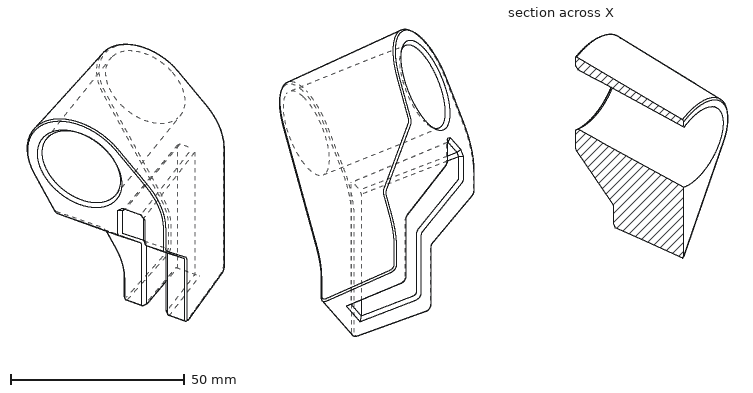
import cadquery as cq
import math

TOTAL_HEIGHT = 77.45
DEPTH = 40.0
DRAFT_ANGLE = 2.6
EDGE_CHAMFER = 0.5
BEND_RADIUS = 2.0

RING_RADIUS = 17.5
LEG_LEFT = 6.1
LEG_RIGHT = 28.0
SHOULDER_SLOPE = 45.0
FLANK_SLOPE = 30.0
BLEND_RADIUS = 20.0
TOP_Z = RING_RADIUS - EDGE_CHAMFER * math.tan(math.radians(DRAFT_ANGLE))
BOTTOM_Z = TOP_Z - TOTAL_HEIGHT

STEP_TOP_Z = -20.5
STEP_DEPTH = 14.0

BORE_DIAMETER = 26.0
LAND_DIAMETER = 25.7
LAND_END_Y = 3.25
CONE_END_Y = 11.2
BORE_CHAMFER = 1.0

SLOT_CENTRE_X = 17.0
SLOT_TOP_Z = -10.4
SLOT_MOUTH_WIDTH = 7.0
SLOT_FLOOR_WIDTH = 5.8
SLOT_DEPTH = 33.3
SLOT_CORNER_CHAMFER = 0.9
SLOT_EDGE_CHAMFER = 1.0

CLEARANCE = 3.9


def blend_ends(corner_x, corner_z, slope):
    """Ends of the blend arc where a side leaning toward -X meets the upright leg side below it."""
    reach = BLEND_RADIUS * math.tan(slope / 2)
    upper = (corner_x - reach * math.sin(slope), corner_z + reach * math.cos(slope))
    lower = (corner_x, corner_z - reach)
    return upper, lower


def outline(depth):
    """Closed outline at a depth behind the front face, moved inward there by the draft."""
    inset = depth * math.tan(math.radians(DRAFT_ANGLE))
    radius = RING_RADIUS - inset
    left = LEG_LEFT + inset
    right = LEG_RIGHT - inset
    shoulder = math.radians(SHOULDER_SLOPE)
    flank = math.radians(FLANK_SLOPE)

    shoulder_start = (radius * math.cos(shoulder), radius * math.sin(shoulder))
    flank_end = (-radius * math.cos(flank), -radius * math.sin(flank))
    right_corner_z = (radius - right * math.cos(shoulder)) / math.sin(shoulder)
    left_corner_z = -(radius + left * math.cos(flank)) / math.sin(flank)
    right_upper, right_lower = blend_ends(right, right_corner_z, shoulder)
    left_upper, left_lower = blend_ends(left, left_corner_z, flank)

    return (
        cq.Workplane("XZ", origin=(0, depth, 0))
        .moveTo(*shoulder_start)
        .lineTo(*right_upper)
        .radiusArc(right_lower, BLEND_RADIUS)
        .lineTo(right, BOTTOM_Z)
        .lineTo(left, BOTTOM_Z)
        .lineTo(*left_lower)
        .radiusArc(left_upper, -BLEND_RADIUS)
        .lineTo(*flank_end)
        .radiusArc(shoulder_start, radius)
        .close()
        .val()
    )


def side_profile():
    """Slab across the full width with an upright front, a 45 degree step, a leg and a flat base."""
    slab_left = -RING_RADIUS - CLEARANCE
    slab_right = LEG_RIGHT + CLEARANCE
    slab_top = RING_RADIUS + CLEARANCE
    slab = (
        cq.Workplane("YZ", origin=(slab_left, 0, 0))
        .polyline([
            (0, slab_top),
            (0, STEP_TOP_Z),
            (STEP_DEPTH, STEP_TOP_Z - STEP_DEPTH),
            (STEP_DEPTH, BOTTOM_Z),
            (DEPTH, BOTTOM_Z),
            (DEPTH, slab_top),
        ])
        .close()
        .extrude(slab_right - slab_left)
    )
    lower_half = cq.selectors.BoxSelector(
        (slab_left, -CLEARANCE, BOTTOM_Z - CLEARANCE),
        (slab_right, DEPTH + CLEARANCE, 0),
    )
    return slab.edges("|X").edges(lower_half).fillet(BEND_RADIUS)


def main_body():
    """Drafted outline trimmed to the side profile, with its outer rim chamfered."""
    body = cq.Workplane(cq.Solid.makeLoft([outline(0), outline(DEPTH)], True))
    return body.intersect(side_profile()).faces("<Y").edges("<X").chamfer(EDGE_CHAMFER)


def bore():
    """Chamfered front land, cone and main bore as one turned cutter."""
    land = LAND_DIAMETER / 2
    main = BORE_DIAMETER / 2
    return (
        cq.Workplane("XY")
        .polyline([
            (0, 0),
            (land + BORE_CHAMFER, 0),
            (land, BORE_CHAMFER),
            (land, LAND_END_Y),
            (main, CONE_END_Y),
            (main, DEPTH),
            (0, DEPTH),
        ])
        .close()
        .revolve(360, (0, 0, 0), (0, 1, 0))
    )


def slot():
    """Tapered slot cutter with its two upper corners cut off."""
    mouth = SLOT_MOUTH_WIDTH / 2
    floor = SLOT_FLOOR_WIDTH / 2
    return (
        cq.Workplane("XY", origin=(SLOT_CENTRE_X, 0, BOTTOM_Z))
        .polyline([(-mouth, 0), (mouth, 0), (floor, SLOT_DEPTH), (-floor, SLOT_DEPTH)])
        .close()
        .extrude(SLOT_TOP_Z - BOTTOM_Z)
        .faces(">Z")
        .edges("not |X")
        .chamfer(SLOT_CORNER_CHAMFER)
    )


def chamfer_slot_rim(part):
    """Chamfer the slot where it opens onto the front, the step and the base."""
    left = SLOT_CENTRE_X - SLOT_MOUTH_WIDTH / 2 - SLOT_EDGE_CHAMFER
    right = SLOT_CENTRE_X + SLOT_MOUTH_WIDTH / 2 + SLOT_EDGE_CHAMFER
    front_rim = cq.selectors.BoxSelector(
        (left, -CLEARANCE, BOTTOM_Z - CLEARANCE),
        (right, STEP_DEPTH + BEND_RADIUS, SLOT_TOP_Z + CLEARANCE),
    )
    base_rim = cq.selectors.BoxSelector(
        (left, STEP_DEPTH, BOTTOM_Z - BEND_RADIUS / 2),
        (right, SLOT_DEPTH + BEND_RADIUS / 2, BOTTOM_Z + BEND_RADIUS / 2),
    )
    return part.edges(front_rim + base_rim).chamfer(SLOT_EDGE_CHAMFER)


result = chamfer_slot_rim(main_body().cut(bore()).cut(slot()))